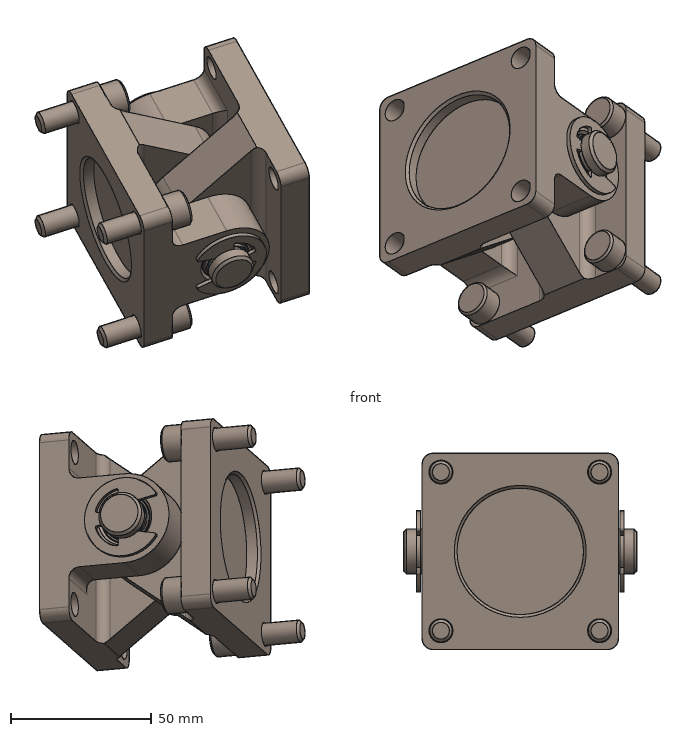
import cadquery as cq
import math


flange_size = 70.0
flange_thickness = 11.0
flange_corner_radius = 4.0
mount_distance = 32.0
flange_inner = mount_distance - flange_thickness

recess_diameter = 45.0
recess_depth = 5.0
recess_chamfer = 1.0

screw_spacing = 56.5
screw_hole_diameter = 8.5

ear_radius = 16.5
ear_root_fillet = 4.0
ear_side_clearance = 0.25
ear_pitch = flange_size / 4
web_top_step = 2.0

pin_length = 83.0
pin_diameter = 18.0
pin_end_diameter = 16.0
pin_end_chamfer = 1.0
bore_chamfer = 1.0
groove_diameter = 15.0
pin_shoulder = flange_size / 2 - bore_chamfer
pin_shoulder_chamfer = 0.3

clip_thickness = 1.5
clip_gap = 0.5
clip_inner_face = flange_size / 2 + clip_gap
clip_outer_radius = 14.5
clip_window_radius = 10.9
clip_window_edge = 1.9
clip_edge_slope = math.tan(math.radians(12))
clip_tab_half_width = 0.45
clip_mouth_half_width = 4.6
clip_tip_radius = 0.6
clip_reach = clip_outer_radius + 1.0
clip_window_corner_radius = 0.6
clip_starts = (-clip_inner_face - clip_thickness, clip_inner_face)

screw_diameter = 8.0
screw_length = 25.0
screw_head_diameter = 13.0
screw_head_height = 8.0
screw_head_chamfer = 0.8
screw_tip_chamfer = 1.0


def cylinder_along_x(diameter, x_start, x_end):
    """Cylinder on the pin axis from x_start to x_end."""
    return cq.Workplane("YZ", origin=(x_start, 0, 0)).circle(diameter / 2).extrude(x_end - x_start)


def countersink(diameter, chamfer, center, direction):
    """45 degree cone that chamfers the mouth of a hole running from center along direction."""
    radius = diameter / 2
    return cq.Workplane(cq.Solid.makeCone(radius + chamfer, radius, chamfer, center, direction))


def screw_places(y):
    """XZ workplane at the given Y with points at the four screw axes; its normal is -Y."""
    plane = cq.Workplane("XZ", origin=(0, y, 0))
    return plane.rect(screw_spacing, screw_spacing, forConstruction=True).vertices()


def flange():
    """Square plate with rounded corners, screw holes and a chamfered pilot recess."""
    plate = (
        cq.Workplane("XZ", origin=(0, mount_distance, 0))
        .rect(flange_size, flange_size)
        .extrude(flange_thickness)
        .edges("|Y")
        .fillet(flange_corner_radius)
    )
    holes = screw_places(mount_distance).circle(screw_hole_diameter / 2).extrude(flange_thickness)
    recess = (
        cq.Workplane("XZ", origin=(0, mount_distance, 0))
        .circle(recess_diameter / 2)
        .extrude(recess_depth)
    )
    mouth = countersink(recess_diameter, recess_chamfer, cq.Vector(0, mount_distance, 0), cq.Vector(0, -1, 0))
    return plate.cut(holes).cut(recess).cut(mouth)


def ear_plan(x_left, x_right, left_fillet, right_fillet):
    """Ear seen along Z: a strip whose chosen sides flare into the flange with a fillet."""
    r = ear_root_fillet
    bend = r * (1 - math.sqrt(0.5))
    fillet_start = flange_inner - r
    plan = cq.Workplane("XY", origin=(0, 0, -flange_size / 2))
    plan = plan.moveTo(x_left, -ear_radius).lineTo(x_right, -ear_radius)
    if right_fillet:
        plan = plan.lineTo(x_right, fillet_start)
        plan = plan.threePointArc((x_right + bend, flange_inner - bend), (x_right + r, flange_inner))
    else:
        plan = plan.lineTo(x_right, flange_inner)
    if left_fillet:
        plan = plan.lineTo(x_left - r, flange_inner)
        plan = plan.threePointArc((x_left - bend, flange_inner - bend), (x_left, fillet_start))
    else:
        plan = plan.lineTo(x_left, flange_inner)
    return plan.close().extrude(flange_size)


def side_profile():
    """YZ workplane on the -X side of the bracket, where the ear outlines are drawn."""
    return cq.Workplane("YZ", origin=(-flange_size / 2, 0, 0))


def outer_ear():
    """Straight round-ended ear at the -X side, filleted to the flange above, below and inside."""
    r = ear_root_fillet
    bend = r * (1 - math.sqrt(0.5))
    fillet_start = flange_inner - r
    profile = (
        side_profile()
        .moveTo(flange_inner, ear_radius + r)
        .threePointArc((flange_inner - bend, ear_radius + bend), (fillet_start, ear_radius))
        .lineTo(0, ear_radius)
        .threePointArc((-ear_radius, 0), (0, -ear_radius))
        .lineTo(fillet_start, -ear_radius)
        .threePointArc((flange_inner - bend, -ear_radius - bend), (flange_inner, -ear_radius - r))
        .close()
        .extrude(flange_size)
    )
    plan = ear_plan(-2 * ear_pitch, -ear_pitch - ear_side_clearance, False, True)
    return profile.intersect(plan)


def inner_ear():
    """Ear beside the middle plane that widens from its round end to the full flange height."""
    top = flange_size / 2
    foot = flange_inner - web_top_step
    reach = math.hypot(foot, top)
    tangent_angle = math.atan2(top, foot) + math.acos(ear_radius / reach)
    tangent_y = ear_radius * math.cos(tangent_angle)
    tangent_z = ear_radius * math.sin(tangent_angle)
    profile = (
        side_profile()
        .moveTo(flange_inner, top)
        .lineTo(foot, top)
        .lineTo(tangent_y, tangent_z)
        .threePointArc((-ear_radius, 0), (tangent_y, -tangent_z))
        .lineTo(foot, -top)
        .lineTo(flange_inner, -top)
        .close()
        .extrude(flange_size)
    )
    plan = ear_plan(ear_side_clearance, ear_pitch - ear_side_clearance, True, True)
    return profile.intersect(plan)


def bracket():
    """The +Y bracket: flange, two ears and the pin bore, chamfered at the outer ear face."""
    outer_face = -flange_size / 2
    body = flange().union(outer_ear()).union(inner_ear())
    body = body.cut(cylinder_along_x(pin_diameter, outer_face, flange_size / 2))
    return body.cut(countersink(pin_diameter, bore_chamfer, cq.Vector(outer_face, 0, 0), cq.Vector(1, 0, 0)))


def pin():
    """Pin with stepped-down chamfered ends, each with a groove for an E-clip."""
    half = pin_length / 2
    body = cylinder_along_x(pin_end_diameter, -half, half)
    body = body.faces("<X or >X").edges().chamfer(pin_end_chamfer)
    shoulder = cylinder_along_x(pin_diameter, -pin_shoulder, pin_shoulder)
    body = body.union(shoulder.faces("<X or >X").edges().chamfer(pin_shoulder_chamfer))
    for x in clip_starts:
        groove = cylinder_along_x(pin_diameter, x, x + clip_thickness)
        groove = groove.cut(cylinder_along_x(groove_diameter, x, x + clip_thickness))
        body = body.cut(groove)
    return body


def clip_plate(x):
    """YZ workplane on the lower X face of a clip."""
    return cq.Workplane("YZ", origin=(x, 0, 0))


def clip_mouth(x):
    """Cutter for the mouth of a clip, widening toward -Y."""
    far_half_width = clip_mouth_half_width + clip_edge_slope * clip_reach
    return (
        clip_plate(x)
        .moveTo(0, clip_mouth_half_width)
        .lineTo(-clip_reach, far_half_width)
        .lineTo(-clip_reach, -far_half_width)
        .lineTo(0, -clip_mouth_half_width)
        .close()
        .extrude(clip_thickness)
    )


def clip_window(x):
    """Cutter for the upper window, between a straight edge and the sloped side of the +Y tab."""
    wedge = (
        clip_plate(x)
        .moveTo(clip_window_edge, clip_reach)
        .lineTo(clip_window_edge, clip_tab_half_width + clip_edge_slope * clip_window_edge)
        .lineTo(clip_reach, clip_tab_half_width + clip_edge_slope * clip_reach)
        .lineTo(clip_reach, clip_reach)
        .close()
        .extrude(clip_thickness)
    )
    window = wedge.intersect(clip_plate(x).circle(clip_window_radius).extrude(clip_thickness))
    return window.edges("|X").edges(">Y or >Z").fillet(clip_window_corner_radius)


def clip(x):
    """E-clip from x to x + clip_thickness, with its mouth toward -Y and a window on each side of +Y."""
    ring = clip_plate(x).circle(clip_outer_radius).circle(groove_diameter / 2).extrude(clip_thickness)
    body = ring.cut(clip_mouth(x))
    body = body.edges("|X").edges("<Y").fillet(clip_tip_radius)
    window = clip_window(x)
    return body.cut(window).cut(window.mirror("XY"))


def screws():
    """Four screws with their heads on the inner face of the -Y flange."""
    head = (
        screw_places(screw_head_height - flange_inner)
        .circle(screw_head_diameter / 2)
        .extrude(screw_head_height)
        .faces(">Y")
        .edges()
        .chamfer(screw_head_chamfer)
    )
    shank = (
        screw_places(-flange_inner)
        .circle(screw_diameter / 2)
        .extrude(screw_length)
        .faces("<Y")
        .edges()
        .chamfer(screw_tip_chamfer)
    )
    return head.union(shank)


rear_bracket = bracket()
front_bracket = rear_bracket.rotate((0, 0, 0), (0, 0, 1), 180)
hinge_pin = pin()
clips = [clip(x) for x in clip_starts]

result = cq.Compound.makeCompound(
    [
        rear_bracket.val(),
        front_bracket.val(),
        hinge_pin.val(),
        *[c.val() for c in clips],
        *screws().vals(),
    ]
)